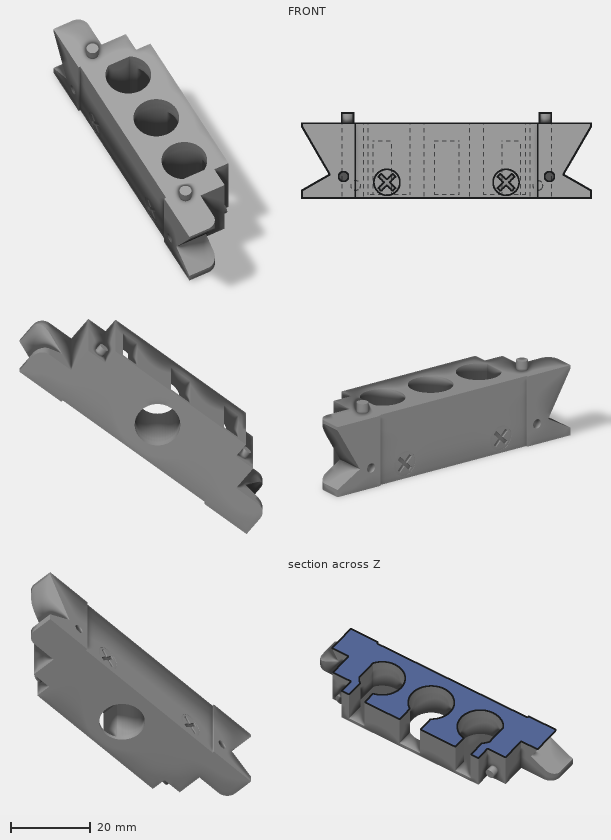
import cadquery as cq

length = 73.0
depth = 19.5
height = 19.0
ear_depth = 8.5
ear_corner_radius = 3.0
shoulder_width = 53.0
shoulder_depth = 15.4
back_width = 42.0

notch_depth = 7.0
notch_bottom = 2.0
notch_apex = 6.0
notch_top = height - 0.9

recess_width = 46.0
recess_depth = 0.5

bore_diameter = 11.5
bore_spacing = 15.05
bore_y = 10.0
bore_flat_x = 19.9
bore_floor = 1.0
window_top = height - 4.5
center_window_width = 6.3
outer_window_inner_x = 13.95
outer_window_outer_x = 18.6

top_pin_diameter = 3.0
top_pin_x = 25.0
top_pin_y = 5.05
top_pin_height = 2.55
small_diameter = 2.5
back_pin_x = 23.0
back_pin_z = 3.3
back_pin_length = 2.0
front_hole_x = 26.0
front_hole_z = 5.5
front_hole_depth = 4.0

screw_diameter = 6.6
screw_x = bore_spacing
screw_z = 4.0
screw_inset = 0.1
cross_length = 5.1
cross_width = 1.0
cross_depth = 0.5


def box(x_min, x_max, y_min, y_max, z_min, z_max):
    """Box between the given limits."""
    size = (x_max - x_min, y_max - y_min, z_max - z_min)
    return cq.Workplane("XY").box(*size, centered=False).translate((x_min, y_min, z_min))


def rod_along_y(diameter, x, z, y_start, rod_length):
    """Cylinder that starts at y_start and runs toward +Y."""
    plane = cq.Workplane("XZ", origin=(x, y_start, z))
    return plane.circle(diameter / 2).extrude(-rod_length)


def make_body():
    """Stepped block with round rear corners on its ears."""
    ears = box(-length / 2, length / 2, 0, ear_depth, 0, height)
    ears = ears.edges("|Z and >Y").fillet(ear_corner_radius)
    shoulders = box(-shoulder_width / 2, shoulder_width / 2, 0, shoulder_depth, 0, height)
    back = box(-back_width / 2, back_width / 2, 0, depth, 0, height)
    return ears.union(shoulders).union(back)


def make_notch(side):
    """V-shaped cutter through the ear on the given side."""
    end_x = side * length / 2
    apex_x = end_x - side * notch_depth
    points = [(end_x, notch_bottom), (apex_x, notch_apex), (end_x, notch_top)]
    return cq.Workplane("XZ").polyline(points).close().extrude(-ear_depth)


def make_bore(x, floor):
    """Vertical bore, limited in X by the flats of the outer bores."""
    bore = cq.Workplane("XY", origin=(x, bore_y, floor)).circle(bore_diameter / 2).extrude(height - floor)
    return bore.intersect(box(-bore_flat_x, bore_flat_x, 0, depth, 0, height))


def make_cross(x):
    """Diagonal cross slot of a screw head."""
    face_y = recess_depth + screw_inset
    plane = cq.Workplane("XZ", origin=(x, face_y, screw_z))
    arm = plane.rect(cross_length, cross_width).extrude(-cross_depth)
    axis_start = (x, 0, screw_z)
    axis_end = (x, 1, screw_z)
    return arm.rotate(axis_start, axis_end, 45).union(arm.rotate(axis_start, axis_end, -45))


result = make_body()
result = result.cut(box(-recess_width / 2, recess_width / 2, 0, recess_depth, 0, height))

result = result.cut(make_bore(0, 0))
half_window = center_window_width / 2
result = result.cut(box(-half_window, half_window, bore_y, depth, bore_floor, window_top))

for side in (-1, 1):
    result = result.cut(make_notch(side))
    result = result.cut(make_bore(side * bore_spacing, bore_floor))
    window_start, window_end = sorted((side * outer_window_inner_x, side * outer_window_outer_x))
    result = result.cut(box(window_start, window_end, bore_y, depth, bore_floor, window_top))

    result = result.cut(rod_along_y(small_diameter, side * front_hole_x, front_hole_z, 0, front_hole_depth))
    result = result.cut(rod_along_y(screw_diameter, side * screw_x, screw_z, recess_depth, screw_inset))
    result = result.cut(make_cross(side * screw_x))

    top_pin = cq.Workplane("XY", origin=(side * top_pin_x, top_pin_y, height))
    result = result.union(top_pin.circle(top_pin_diameter / 2).extrude(top_pin_height))
    result = result.union(
        rod_along_y(small_diameter, side * back_pin_x, back_pin_z, shoulder_depth, back_pin_length)
    )